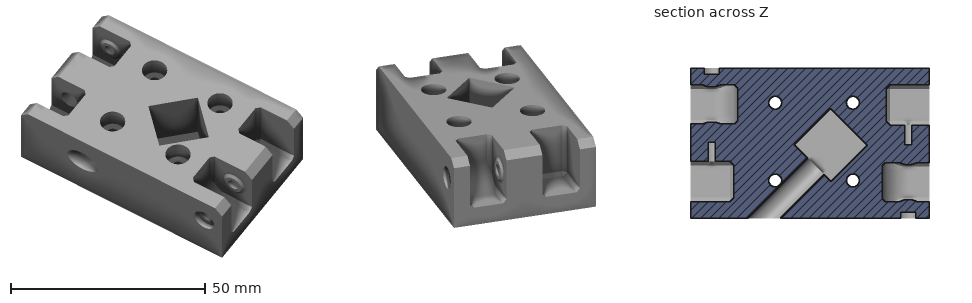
import cadquery as cq
import math

LENGTH = 61.5
WIDTH = 38.6
HEIGHT = 19.0
END_BEVEL_X = 2.15
END_BEVEL_Z = 1.95

POCKET_DEPTH = 14.1
POCKET_FLOOR = HEIGHT - POCKET_DEPTH
POCKET_OUTER_Y = 14.95
POCKET_CHAMFER = 1.0
CURVED_LENGTH = 12.35
CURVED_WIDTH = 9.9
CURVED_RADIUS = 6.6
PLAIN_LENGTH = 11.15
PLAIN_WIDTH = 10.2
OVERCUT = 3.1

PIN_X = 25.3
PIN_Z = 11.9
PIN_HEAD = 6.0
PIN_HEAD_DEPTH = 1.5
PIN_BORE = 3.0
SOCKET_DIAMETER = 5.0
SOCKET_DEPTH = 5.0
BOSS_BASE = 6.5
BOSS_TIP = 5.0
BOSS_HEIGHT = 0.5

MOUNT_PITCH = 20.0
MOUNT_CENTRE = (1.05, 0.4)
MOUNT_HOLE = 3.2
MOUNT_HEAD = 6.5
MOUNT_HEAD_DEPTH = 5.0

CAVITY_CENTRE = (5.35, -0.4)
CAVITY_SIZE = (13.05, 13.3)
CAVITY_ANGLE = 45.0
OBLIQUE_DIAMETER = 6.5
OBLIQUE_X = -11.9
OBLIQUE_Z = 11.0


def make_block():
    half = LENGTH / 2
    shoulder = HEIGHT - END_BEVEL_Z
    top_half = half - END_BEVEL_X
    outline = [
        (-half, 0), (half, 0), (half, shoulder),
        (top_half, HEIGHT), (-top_half, HEIGHT), (-half, shoulder),
    ]
    return cq.Workplane("XZ").polyline(outline).close().extrude(WIDTH / 2, both=True)


def pocket_blank(length, width, y_min):
    """Box for a pocket in the -X end, running past the end and top faces."""
    return cq.Workplane("XY").box(
        length + OVERCUT, width, POCKET_DEPTH + OVERCUT, centered=False
    ).translate((-LENGTH / 2 - OVERCUT, y_min, POCKET_FLOOR))


def plain_pocket():
    blank = pocket_blank(PLAIN_LENGTH, PLAIN_WIDTH, -POCKET_OUTER_Y)
    return blank.edges("(>X and |Z) or <Z").edges("not <X").chamfer(POCKET_CHAMFER)


def curved_pocket():
    """Chamfered channel whose floor sweeps up into the inner end wall."""
    blank = pocket_blank(CURVED_LENGTH, CURVED_WIDTH, POCKET_OUTER_Y - CURVED_WIDTH)
    channel = blank.edges("(>X and |Z) or (<Z and |X)").chamfer(POCKET_CHAMFER)
    swept = blank.edges("<Z and >X").fillet(CURVED_RADIUS)
    return channel.intersect(swept)


def y_rod(diameter, y_start, y_end):
    """Cylinder along +Y on the axis of the -X end's pins."""
    return cq.Workplane(
        cq.Solid.makeCylinder(
            diameter / 2, y_end - y_start, cq.Vector(-PIN_X, y_start, PIN_Z), cq.Vector(0, 1, 0)
        )
    )


def pin_boss(wall_y, direction):
    """Conical boss rising from a pocket wall."""
    return cq.Workplane(
        cq.Solid.makeCone(
            BOSS_BASE / 2, BOSS_TIP / 2, BOSS_HEIGHT,
            cq.Vector(-PIN_X, wall_y, PIN_Z), cq.Vector(0, direction, 0),
        )
    )


def work_end(body):
    """Cut the pockets, bosses and pin holes of the -X end."""
    inner_y = POCKET_OUTER_Y - CURVED_WIDTH
    plain_wall_y = PLAIN_WIDTH - POCKET_OUTER_Y
    body = body.cut(plain_pocket()).cut(curved_pocket())
    body = body.union(pin_boss(POCKET_OUTER_Y, -1)).union(pin_boss(inner_y, 1))
    body = body.cut(y_rod(PIN_BORE, POCKET_OUTER_Y - BOSS_HEIGHT, WIDTH / 2))
    body = body.cut(y_rod(PIN_HEAD, WIDTH / 2 - PIN_HEAD_DEPTH, WIDTH / 2))
    body = body.cut(y_rod(PIN_BORE, plain_wall_y, inner_y + BOSS_HEIGHT))
    return body.cut(y_rod(SOCKET_DIAMETER, plain_wall_y, plain_wall_y + SOCKET_DEPTH))


def cut_mounting_holes(body):
    return (
        body.faces(">Z").workplane(origin=(*MOUNT_CENTRE, HEIGHT))
        .rarray(MOUNT_PITCH, MOUNT_PITCH, 2, 2)
        .cboreHole(MOUNT_HOLE, MOUNT_HEAD, MOUNT_HEAD_DEPTH)
    )


def cut_cavity(body):
    cavity = (
        cq.Workplane("XY").rect(*CAVITY_SIZE).extrude(POCKET_DEPTH)
        .rotate((0, 0, 0), (0, 0, 1), CAVITY_ANGLE)
        .translate((*CAVITY_CENTRE, POCKET_FLOOR))
    )
    return body.cut(cavity)


def cut_oblique_bore(body):
    """Bore from the -Y face, parallel to the cavity sides, ending inside the cavity."""
    angle = math.radians(CAVITY_ANGLE)
    direction = cq.Vector(math.cos(angle), math.sin(angle), 0)
    entry = cq.Vector(OBLIQUE_X, -WIDTH / 2, OBLIQUE_Z)
    to_cavity = (cq.Vector(*CAVITY_CENTRE, OBLIQUE_Z) - entry).dot(direction)
    lead_in = 2 * OBLIQUE_DIAMETER
    bore = cq.Solid.makeCylinder(
        OBLIQUE_DIAMETER / 2, to_cavity + lead_in, entry - direction * lead_in, direction
    )
    return body.cut(cq.Workplane(bore))


body = make_block()
for _ in range(2):
    body = work_end(body).rotate((0, 0, 0), (0, 0, 1), 180)
body = cut_mounting_holes(body)
body = cut_cavity(body)
result = cut_oblique_bore(body)